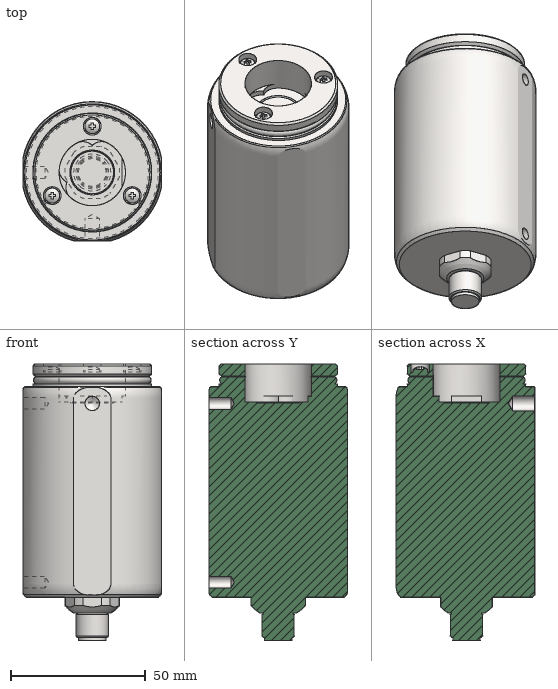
import cadquery as cq
import math

total_height = 102.6
body_bottom = 16.0
body_top = 94.2

body_radius = 26.3
barrel_bottom = 20.9
barrel_top = 89.7
crown_radius = 10.3
corner_top = 0.4
corner_bottom = 1.0

front_flat_distance = 25.3
side_flat_distance = 25.7
upper_hole_height = 87.9
lower_hole_height = 21.6
front_hole_radius = 2.7
side_hole_radius = 2.2
drilling_depth = 8.2
drill_point_angle = 118.0

flange_radius = 22.1
flange_bottom = 98.8
flange_chamfer = 0.7
groove_radius = 20.8
groove_bottom = 95.2
groove_top = 97.7
ring_section_radius = 1.4
ring_outer_radius = 21.8
ring_height = 96.5

bore_radius = 12.3
bore_depth = 14.1
window_radius = 8.3
window_chamfer = 0.4
ledge_height = 2.1
ledge_overlap = 1.0
chord_ledge_distance = 11.0
pointed_ledge_reach = 10.1
pointed_ledge_flank_radius = 11.6
pointed_ledge_half_angle = 25.0
pointed_ledge_angles = (90.0, 201.0)

screw_circle_radius = 17.1
screw_angles = (90.0, 210.0, 330.0)
screw_hole_radius = 3.3
screw_hole_depth = 3.1
screw_head_radius = 2.8
screw_head_rim_height = 1.0
screw_head_height = 2.1
cross_length = 2.5
cross_width = 0.8
cross_depth = 1.0

nut_across_flats = 19.2
nut_radius = 10.2
nut_cone_top = 13.0
nut_shoulder_height = 11.3
nut_shoulder_radius = 8.4
nut_cone_bottom = 10.2
nut_bottom_radius = 6.9
plug_radius = 6.1
plug_chamfer = 0.5
plug_shoulder = 0.5
plug_tip_radius = 5.1
plug_tip_length = 1.1


def polar(radius, angle):
    """Point at a radius and an angle in degrees."""
    return (radius * math.cos(math.radians(angle)), radius * math.sin(math.radians(angle)))


def crown_inset(rise):
    """Inward shift of the crown arc at a distance beyond the straight barrel."""
    return crown_radius - math.sqrt(crown_radius**2 - rise**2)


def make_body():
    top_rise = body_top - corner_top - barrel_top
    bottom_rise = barrel_bottom - body_bottom - corner_bottom
    top_rim = body_radius - crown_inset(top_rise)
    bottom_rim = body_radius - crown_inset(bottom_rise)
    return (
        cq.Workplane("XZ")
        .moveTo(0, body_bottom)
        .lineTo(bottom_rim - corner_bottom, body_bottom)
        .lineTo(bottom_rim, barrel_bottom - bottom_rise)
        .threePointArc(
            (body_radius - crown_inset(bottom_rise / 2), barrel_bottom - bottom_rise / 2),
            (body_radius, barrel_bottom),
        )
        .lineTo(body_radius, barrel_top)
        .threePointArc(
            (body_radius - crown_inset(top_rise / 2), barrel_top + top_rise / 2),
            (top_rim, barrel_top + top_rise),
        )
        .lineTo(top_rim - corner_top, body_top)
        .lineTo(0, body_top)
        .close()
        .revolve(360, (0, 0), (0, 1))
    )


def trim_flats(body):
    envelope = cq.Workplane("XY").box(
        2 * side_flat_distance,
        front_flat_distance + body_radius,
        total_height,
        centered=(True, False, False),
    )
    return body.intersect(envelope.translate((0, -front_flat_distance, 0)))


def drilling(radius):
    """Blind drilling with a conical end, running along +Z from the origin."""
    point_length = radius / math.tan(math.radians(drill_point_angle / 2))
    return (
        cq.Workplane("XZ")
        .polyline([(0, 0), (radius, 0), (radius, drilling_depth), (0, drilling_depth + point_length)])
        .close()
        .revolve(360, (0, 0), (0, 1))
    )


def drill_body(body):
    front_hole = drilling(front_hole_radius).rotate((0, 0, 0), (1, 0, 0), -90)
    body = body.cut(front_hole.translate((0, -front_flat_distance, upper_hole_height)))
    side_hole = drilling(side_hole_radius).rotate((0, 0, 0), (0, 1, 0), 90)
    for height in (lower_hole_height, upper_hole_height):
        body = body.cut(side_hole.translate((-side_flat_distance, 0, height)))
    return body


def make_neck():
    ring_center_radius = ring_outer_radius - ring_section_radius
    ring_half_height = math.sqrt(ring_section_radius**2 - (groove_radius - ring_center_radius)**2)
    return (
        cq.Workplane("XZ")
        .moveTo(0, body_top)
        .lineTo(flange_radius, body_top)
        .lineTo(flange_radius, groove_bottom)
        .lineTo(groove_radius, groove_bottom)
        .lineTo(groove_radius, ring_height - ring_half_height)
        .threePointArc((ring_outer_radius, ring_height), (groove_radius, ring_height + ring_half_height))
        .lineTo(groove_radius, groove_top)
        .lineTo(flange_radius, flange_bottom)
        .lineTo(flange_radius, total_height - flange_chamfer)
        .lineTo(flange_radius - flange_chamfer, total_height)
        .lineTo(0, total_height)
        .close()
        .revolve(360, (0, 0), (0, 1))
    )


def pointed_ledge(angle):
    """Ledge with two hollow flanks that meet in a point facing the bore axis."""
    start = angle - pointed_ledge_half_angle
    end = angle + pointed_ledge_half_angle
    tip = polar(pointed_ledge_reach, angle)
    first_flank = polar(pointed_ledge_flank_radius, (start + angle) / 2)
    second_flank = polar(pointed_ledge_flank_radius, (angle + end) / 2)
    outer_radius = bore_radius + ledge_overlap
    return (
        cq.Workplane("XY")
        .moveTo(*polar(bore_radius, start))
        .threePointArc(first_flank, tip)
        .threePointArc(second_flank, polar(bore_radius, end))
        .lineTo(*polar(outer_radius, end))
        .threePointArc(polar(outer_radius, angle), polar(outer_radius, start))
        .close()
        .extrude(ledge_height)
    )


def chord_ledge():
    """Ledge on the +X side of the bore with a straight inner edge."""
    outer_radius = bore_radius + ledge_overlap
    depth = outer_radius - chord_ledge_distance
    bar = cq.Workplane("XY").box(depth, 2 * outer_radius, ledge_height, centered=(False, True, False))
    disc = cq.Workplane("XY").circle(outer_radius).extrude(ledge_height)
    return disc.intersect(bar.translate((chord_ledge_distance, 0, 0)))


def cut_bore(part):
    floor = total_height - bore_depth
    bore = cq.Workplane("XY").workplane(offset=floor).circle(bore_radius).extrude(bore_depth)
    window = cq.Workplane(
        obj=cq.Solid.makeCone(
            window_radius - window_chamfer,
            window_radius,
            window_chamfer,
            cq.Vector(0, 0, floor - window_chamfer),
        )
    )
    part = part.cut(bore).cut(window)
    for angle in pointed_ledge_angles:
        part = part.union(pointed_ledge(angle).translate((0, 0, floor)))
    return part.union(chord_ledge().translate((0, 0, floor)))


def screw_head():
    """Raised screw head with a cross recess, standing on the XY plane."""
    dome_rise = screw_head_height - screw_head_rim_height
    dome_radius = (screw_head_radius**2 + dome_rise**2) / (2 * dome_rise)
    dome_center = screw_head_height - dome_radius
    dome_half_angle = math.asin(screw_head_radius / dome_radius)
    head = (
        cq.Workplane("XZ")
        .lineTo(screw_head_radius, 0)
        .lineTo(screw_head_radius, screw_head_rim_height)
        .threePointArc(
            (
                dome_radius * math.sin(dome_half_angle / 2),
                dome_center + dome_radius * math.cos(dome_half_angle / 2),
            ),
            (0, screw_head_height),
        )
        .close()
        .revolve(360, (0, 0), (0, 1))
    )
    recess = cq.Workplane("XY").workplane(offset=screw_head_height - cross_depth)
    for turn in (0, 90):
        slot = recess.transformed(rotate=(0, 0, turn)).rect(cross_length, cross_width).extrude(cross_depth)
        head = head.cut(slot)
    return head


def add_screws(part):
    seat = total_height - screw_hole_depth
    for angle in screw_angles:
        x, y = polar(screw_circle_radius, angle)
        hole = cq.Workplane("XY").circle(screw_hole_radius).extrude(screw_hole_depth)
        part = part.cut(hole.translate((x, y, seat)))
        part = part.union(screw_head().translate((x, y, seat)))
    return part


def make_connector():
    hexagon = (
        cq.Workplane("XY")
        .polygon(6, nut_across_flats, circumscribed=True)
        .extrude(body_bottom)
        .rotate((0, 0, 0), (0, 0, 1), 30)
    )
    turned_nut = (
        cq.Workplane("XZ")
        .polyline([
            (0, nut_cone_bottom),
            (nut_bottom_radius, nut_cone_bottom),
            (nut_shoulder_radius, nut_shoulder_height),
            (nut_radius, nut_cone_top),
            (nut_radius, body_bottom),
            (0, body_bottom),
        ])
        .close()
        .revolve(360, (0, 0), (0, 1))
    )
    plug = (
        cq.Workplane("XY")
        .workplane(offset=plug_tip_length)
        .circle(plug_radius)
        .extrude(nut_cone_bottom - plug_tip_length)
        .faces("<Z")
        .chamfer(plug_chamfer)
        .faces(">Z")
        .chamfer(plug_shoulder)
    )
    tip = cq.Workplane("XY").circle(plug_tip_radius).extrude(plug_tip_length)
    return turned_nut.intersect(hexagon).union(plug).union(tip)


body = drill_body(trim_flats(make_body()))
housing = add_screws(cut_bore(body.union(make_neck())))
result = housing.union(make_connector())